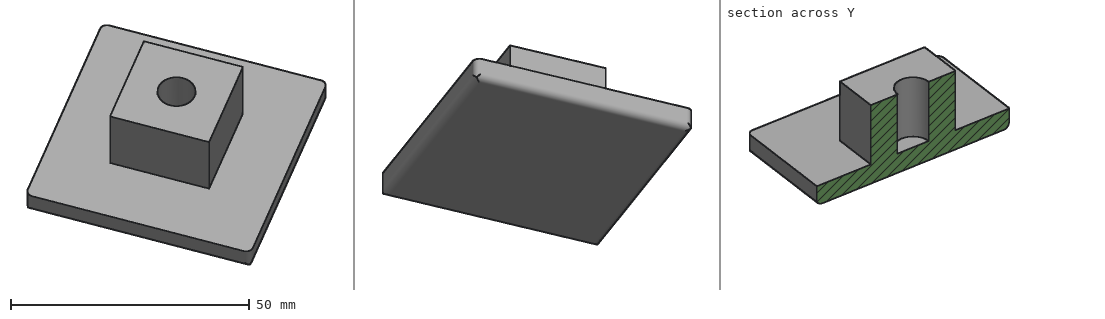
import cadquery as cq

plate_side = 50
plate_thickness = 5
edge_radius = 1.5

block_side = 22
total_height = 20
block_height = total_height - plate_thickness

hole_diameter = 8
hole_depth = block_height


def rounded_slab(edge_selector):
    """Plate-sized slab with only the selected edges rounded."""
    slab = cq.Workplane("XY").box(
        plate_side, plate_side, plate_thickness, centered=(True, True, False)
    )
    return slab.edges(edge_selector).fillet(edge_radius)


plate = (
    rounded_slab("|Z")
    .intersect(rounded_slab("<Z and |X"))
    .intersect(rounded_slab("<Z and |Y"))
)

block = (
    cq.Workplane("XY")
    .workplane(offset=plate_thickness)
    .box(block_side, block_side, block_height, centered=(True, True, False))
)

result = (
    plate.union(block)
    .faces(">Z")
    .workplane(centerOption="CenterOfBoundBox")
    .hole(hole_diameter, hole_depth)
)